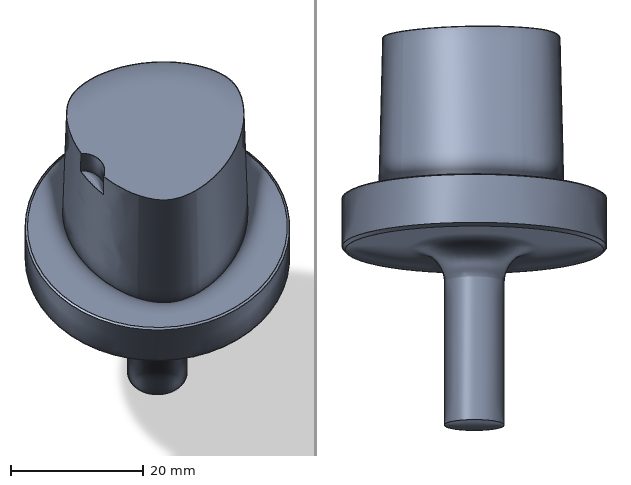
import cadquery as cq
import math

total_height = 59.0
shank_height = 24.0
flange_thickness = 8.0
flange_top = total_height - shank_height
flange_bottom = flange_top - flange_thickness

stem_radius = 9.0 / 2
stem_fillet_radius = 5.0
flange_radius = 40.0 / 2
flange_top_chamfer_width = 0.35
flange_top_chamfer_height = 0.2
flange_bottom_chamfer = 0.5

shank_base_diameter = 28.0
shank_taper = 1 / 20
shank_top_diameter = shank_base_diameter - shank_taper * shank_height
lobe_offset = 0.9
lobe_count = 3
first_lobe_angle = math.radians(90)
face_count = 2 * lobe_count
face_angle = 2 * math.pi / face_count

notch_radius = 3.4
notch_depth = 4.2
notch_back_y = -10.85


def revolved_body():
    """Stem and flange turned as one profile around Z."""
    return (
        cq.Workplane("XZ")
        .lineTo(stem_radius, 0)
        .lineTo(stem_radius, flange_bottom - stem_fillet_radius)
        .radiusArc((stem_radius + stem_fillet_radius, flange_bottom), stem_fillet_radius)
        .lineTo(flange_radius - flange_bottom_chamfer, flange_bottom)
        .lineTo(flange_radius, flange_bottom + flange_bottom_chamfer)
        .lineTo(flange_radius, flange_top - flange_top_chamfer_height)
        .lineTo(flange_radius - flange_top_chamfer_width, flange_top)
        .lineTo(0, flange_top)
        .close()
        .revolve(360, (0, 0), (0, 1))
    )


def lobe_point(diameter, angle, z):
    """Point of the lobed curve whose outward normal lies at the given angle."""
    lobe_phase = lobe_count * (angle - first_lobe_angle)
    reach = diameter / 2 + lobe_offset * math.cos(lobe_phase)
    reach_slope = -lobe_count * lobe_offset * math.sin(lobe_phase)
    x = reach * math.cos(angle) - reach_slope * math.sin(angle)
    y = reach * math.sin(angle) + reach_slope * math.cos(angle)
    return cq.Vector(x, y, z)


def lobed_wire(diameter, z):
    """Closed profile of alternating tight lobes and flatter sides."""
    points_per_face = 8
    edges = []
    for face in range(face_count):
        start = face * face_angle
        angles = [start + face_angle * i / points_per_face for i in range(points_per_face + 1)]
        tangents = [cq.Vector(-math.sin(a), math.cos(a), 0) for a in (angles[0], angles[-1])]
        points = [lobe_point(diameter, a, z) for a in angles]
        edges.append(cq.Edge.makeSpline(points, tangents=tangents))
    return cq.Wire.assembleEdges(edges)


def tapered_shank():
    base = lobed_wire(shank_base_diameter, flange_top)
    top = lobed_wire(shank_top_diameter, total_height)
    return cq.Workplane(cq.Solid.makeLoft([base, top], True))


def notch_cutter():
    return (
        cq.Workplane("XY", origin=(0, notch_back_y - notch_radius, total_height - notch_depth))
        .circle(notch_radius)
        .extrude(notch_depth)
    )


result = revolved_body().union(tapered_shank()).cut(notch_cutter())